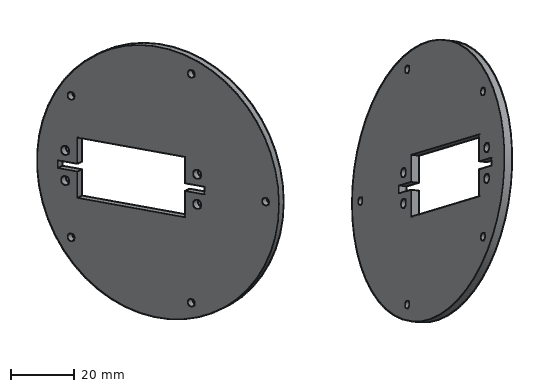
import cadquery as cq

disc_diameter = 90.0
thickness = 3.0

rim_hole_count = 5
rim_hole_circle_radius = 40.0
rim_hole_diameter = 2.5

window_center_x = -10.0
window_length = 40.0
window_height = window_length / 2
slot_length = 54.5
slot_height = 2.5

mount_spacing_x = 49.05
mount_spacing_z = 10.0
mount_hole_diameter = 3.0


def front_plane(center_x=0.0):
    """Sketch plane facing -Y, in the middle of the disc's thickness."""
    return cq.Workplane("XZ", origin=(center_x, 0, 0))


def through_cut(sketch):
    """Solid that reaches past both faces of the disc."""
    return sketch.extrude(thickness, both=True)


def rim_holes():
    points = front_plane().polarArray(rim_hole_circle_radius, 0, 360, rim_hole_count)
    return through_cut(points.circle(rim_hole_diameter / 2))


def slotted_window():
    window = through_cut(front_plane(window_center_x).rect(window_length, window_height))
    slot = through_cut(front_plane(window_center_x).rect(slot_length, slot_height))
    return window.union(slot)


def mounting_holes():
    points = front_plane(window_center_x).rarray(mount_spacing_x, mount_spacing_z, 2, 2)
    return through_cut(points.circle(mount_hole_diameter / 2))


disc = cq.Workplane("XZ", origin=(0, thickness / 2, 0)).circle(disc_diameter / 2).extrude(thickness)
result = disc.cut(rim_holes()).cut(slotted_window()).cut(mounting_holes())